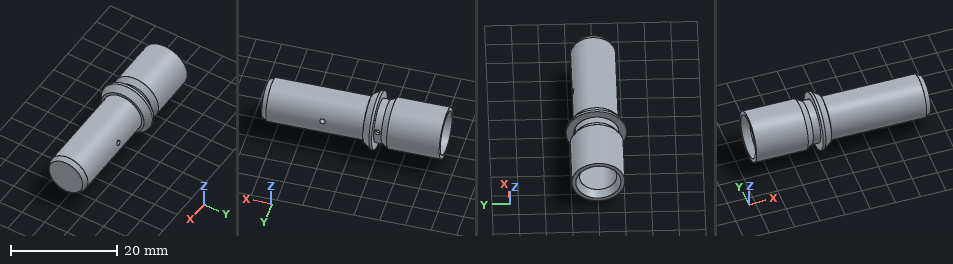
import cadquery as cq
import math

length = 35.0
barrel_diameter = 10.0
barrel_end = 10.25
neck_start = 11.5
shank_diameter = 8.5
collar_diameter = 11.4
collar_start = 13.0
collar_rim_width = 0.52
collar_end = 14.98
collar_small_diameter = 9.52
tip_diameter = 7.5
tip_chamfer_length = 1.0

bore_diameter = 7.0
bore_mouth_diameter = 8.5
bore_mouth_depth = 1.5
bore_depth = 12.95
drill_angle = 118.0

radial_hole_diameter = 1.0
radial_hole_tilt = 14.0
neck_hole_x = 12.3
shank_hole_x = 23.0


def revolve_about_x(points):
    """Turn a closed (x, radius) outline about the X axis."""
    outline = cq.Workplane("XY").polyline(points).close()
    return outline.revolve(360, (0, 0, 0), (1, 0, 0))


def make_body():
    barrel_radius = barrel_diameter / 2
    shank_radius = shank_diameter / 2
    collar_radius = collar_diameter / 2
    return revolve_about_x([
        (0, 0),
        (0, barrel_radius),
        (barrel_end, barrel_radius),
        (neck_start, shank_radius),
        (collar_start, shank_radius),
        (collar_start, collar_radius),
        (collar_start + collar_rim_width, collar_radius),
        (collar_end, collar_small_diameter / 2),
        (collar_end, shank_radius),
        (length - tip_chamfer_length, shank_radius),
        (length, tip_diameter / 2),
        (length, 0),
    ])


def make_bore():
    bore_radius = bore_diameter / 2
    cone_depth = bore_radius / math.tan(math.radians(drill_angle / 2))
    return revolve_about_x([
        (0, 0),
        (0, bore_mouth_diameter / 2),
        (bore_mouth_depth, bore_radius),
        (bore_depth, bore_radius),
        (bore_depth + cone_depth, 0),
    ])


def make_radial_hole(x):
    """A drill from the axis out through the wall, tilted up from +Y."""
    hole = cq.Workplane("XZ").center(x, 0).circle(radial_hole_diameter / 2).extrude(-collar_diameter / 2)
    return hole.rotate((0, 0, 0), (1, 0, 0), radial_hole_tilt)


result = make_body().cut(make_bore())
for hole_x in (neck_hole_x, shank_hole_x):
    result = result.cut(make_radial_hole(hole_x))